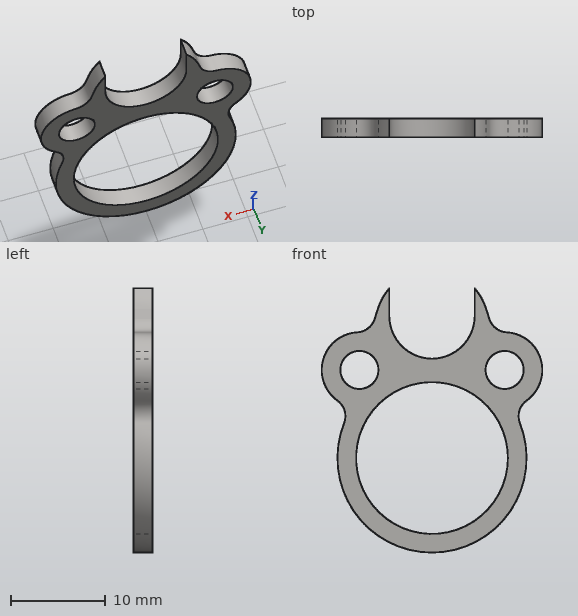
import cadquery as cq
import math

thickness = 2.0
ring_radius = 10.0
bore_diameter = 16.0
overall_height = 27.93
overall_width = 23.32
ear_radius = 4.0
ear_hole_diameter = 4.0
ear_height = 9.3
slot_width = 9.0
slot_center_height = 15.0
horn_radius = 6.0
horn_arc_end_height = 15.75
upper_blend_radius = 2.0
lower_blend_radius = 2.0

top_height = overall_height - ring_radius
slot_radius = slot_width / 2
ring_center = (0, 0)
ear_center = (overall_width / 2 - ear_radius, ear_height)
left_ear_center = (-ear_center[0], ear_height)
horn_tip = (slot_radius, top_height)
horn_center = (0, top_height - math.sqrt(horn_radius**2 - slot_radius**2))
horn_slope = math.asin((horn_arc_end_height - horn_center[1]) / horn_radius)
horn_normal = (math.cos(horn_slope), math.sin(horn_slope))


def point_toward(center, target, radius):
    """Point on a circle about center, in the direction of target."""
    reach = math.dist(center, target)
    return tuple(c + (t - c) * radius / reach for c, t in zip(center, target))


def arc_middle(center, start, end):
    """Middle of the shorter arc about center from start to end."""
    chord_middle = ((start[0] + end[0]) / 2, (start[1] + end[1]) / 2)
    return point_toward(center, chord_middle, math.dist(center, start))


def lower_blend_center():
    """Centre of the circle touching the ring and the ear, below the ear."""
    ring_reach = ring_radius + lower_blend_radius
    ear_reach = ear_radius + lower_blend_radius
    span = math.dist(ring_center, ear_center)
    along = (ring_reach**2 - ear_reach**2 + span**2) / (2 * span)
    aside = math.sqrt(ring_reach**2 - along**2)
    ear_x = (ear_center[0] - ring_center[0]) / span
    ear_z = (ear_center[1] - ring_center[1]) / span
    return (
        ring_center[0] + along * ear_x + aside * ear_z,
        ring_center[1] + along * ear_z - aside * ear_x,
    )


def upper_blend_center():
    """Centre of the circle touching the ear and the straight side of the horn."""
    normal_x, normal_z = horn_normal
    ear_x = ear_center[0] - horn_center[0]
    ear_z = ear_center[1] - horn_center[1]
    gap = horn_radius + upper_blend_radius - (ear_x * normal_x + ear_z * normal_z)
    rise = math.sqrt((ear_radius + upper_blend_radius) ** 2 - gap**2)
    return (
        ear_center[0] + gap * normal_x - rise * normal_z,
        ear_center[1] + gap * normal_z + rise * normal_x,
    )


def prism(sketch):
    """Extrude an XZ sketch to the full thickness, centred on Y = 0."""
    return sketch.extrude(thickness / 2, both=True)


def right_half():
    """Right half of the solid outline, closed along the symmetry axis."""
    lower = lower_blend_center()
    upper = upper_blend_center()

    ring_end = point_toward(ring_center, lower, ring_radius)
    ear_start = point_toward(ear_center, lower, ear_radius)
    ear_end = point_toward(ear_center, upper, ear_radius)
    horn_start = tuple(c - upper_blend_radius * n for c, n in zip(upper, horn_normal))
    horn_arc_start = tuple(c + horn_radius * n for c, n in zip(horn_center, horn_normal))

    lower_middle = arc_middle(lower, ring_end, ear_start)
    upper_middle = arc_middle(upper, ear_end, horn_start)
    horn_middle = arc_middle(horn_center, horn_arc_start, horn_tip)
    ring_side = (ring_radius, 0)
    ear_side = (overall_width / 2, ear_height)

    outline = (
        cq.Workplane("XZ")
        .moveTo(0, -ring_radius)
        .threePointArc(ring_side, ring_end)
        .threePointArc(lower_middle, ear_start)
        .threePointArc(ear_side, ear_end)
        .threePointArc(upper_middle, horn_start)
        .lineTo(*horn_arc_start)
        .threePointArc(horn_middle, horn_tip)
        .lineTo(0, top_height)
        .close()
    )
    return prism(outline)


def slot():
    """Round-bottomed slot, open at the top, that leaves the two pointed horns."""
    outline = (
        cq.Workplane("XZ")
        .moveTo(-slot_radius, top_height)
        .lineTo(-slot_radius, slot_center_height)
        .threePointArc((0, slot_center_height - slot_radius), (slot_radius, slot_center_height))
        .lineTo(slot_radius, top_height)
        .close()
    )
    return prism(outline)


half = right_half()
body = half.union(half.mirror("YZ"))

bore = prism(cq.Workplane("XZ").circle(bore_diameter / 2))
ear_holes = prism(cq.Workplane("XZ").pushPoints([left_ear_center, ear_center]).circle(ear_hole_diameter / 2))
result = body.cut(bore).cut(ear_holes).cut(slot())